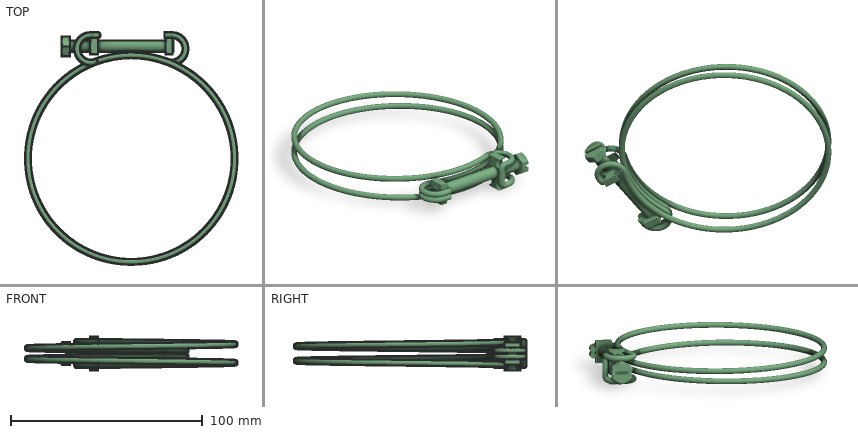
import cadquery as cq
import math


OVERALL_LENGTH = 121.4
RING_OUTER_DIAMETER = 110.9
WIRE_DIAMETER = 3.0
WIRE_RADIUS = WIRE_DIAMETER / 2
RING_RADIUS = RING_OUTER_DIAMETER / 2 - WIRE_RADIUS

HOOK_RADIUS = 7.2
LEAD_LENGTH = 1.2
OUTER_HOOK_Z = 6.1
INNER_HOOK_GAP = 0.1
INNER_HOOK_Z = WIRE_RADIUS + INNER_HOOK_GAP / 2
HOOK_END_X = 17.2

HOOK_TOP_Y = OVERALL_LENGTH - RING_OUTER_DIAMETER / 2 - WIRE_RADIUS
HOOK_CENTER_Y = HOOK_TOP_Y - HOOK_RADIUS
HOOK_DISTANCE = math.hypot(RING_RADIUS + HOOK_RADIUS, LEAD_LENGTH)
HOOK_CENTER_X = math.sqrt(HOOK_DISTANCE ** 2 - HOOK_CENTER_Y ** 2)
LEAD_ANGLE = math.atan2(LEAD_LENGTH, RING_RADIUS + HOOK_RADIUS)
RING_START_ANGLE = math.atan2(HOOK_CENTER_Y, HOOK_CENTER_X) + LEAD_ANGLE

CROSSBAR_X = -17.6
CROSSBAR_BEND_RADIUS = 2.4

BAR_HEIGHT = 8.5
BAR_CLEARANCE = 0.06
SCREW_Y = HOOK_TOP_Y - WIRE_RADIUS - BAR_CLEARANCE - BAR_HEIGHT / 2
BRIDGE_LEFT_X = -21.5
BRIDGE_THICKNESS = 4.2
BRIDGE_WIDTH = 18.0
NOTCH_RADIUS = 2.3
NUT_LEFT_X = 18.0
NUT_THICKNESS = 3.6
NUT_WIDTH = 11.7

SHANK_DIAMETER = 6.2
TIP_X = 22.0
TIP_CHAMFER = 0.4
HEAD_LEFT_X = -36.4
HEAD_THICKNESS = 4.4
HEAD_ACROSS_FLATS = 10.5
HEAD_ACROSS_CORNERS = HEAD_ACROSS_FLATS / math.cos(math.pi / 6)
HEAD_CONE_ANGLE = math.radians(30)
SLOT_WIDTH = 2.0
SLOT_DEPTH = 2.4


def hook_edges(side, z):
    """Start point, start direction and edges of one hook, from the ring to the top of the hook.

    The side is 1 for the hook at +X and -1 for the hook at -X.
    """
    normal = cq.Vector(side * math.cos(RING_START_ANGLE), math.sin(RING_START_ANGLE), 0)
    outward = cq.Vector(side * math.sin(RING_START_ANGLE), -math.cos(RING_START_ANGLE), 0)
    center = cq.Vector(side * HOOK_CENTER_X, HOOK_CENTER_Y, z)
    ring_point = normal * RING_RADIUS + cq.Vector(0, 0, z)
    arc_start = center - normal * HOOK_RADIUS
    arc_middle = center + cq.Vector(side * HOOK_RADIUS, 0, 0)
    arc_end = center + cq.Vector(0, HOOK_RADIUS, 0)
    lead = cq.Edge.makeLine(ring_point, arc_start)
    arc = cq.Edge.makeThreePointArc(arc_start, arc_middle, arc_end)
    return ring_point, outward, [lead, arc]


def wire_section(start, direction):
    """Round section of the wire at the start point, square to the given direction."""
    plane = cq.Plane(origin=start, xDir=(0, 0, 1), normal=direction)
    return cq.Workplane(plane).circle(WIRE_RADIUS)


def make_ring():
    """Upper ring: a spiral of more than one turn that ends in the inner hook at +X."""
    start, outward, edges = hook_edges(1, INNER_HOOK_Z)
    hook_top = cq.Vector(HOOK_CENTER_X, HOOK_TOP_Y, INNER_HOOK_Z)
    hook_end = cq.Vector(HOOK_END_X, HOOK_TOP_Y, INNER_HOOK_Z)
    stub = cq.Edge.makeLine(hook_top, hook_end)
    hook = wire_section(start, outward).sweep(cq.Wire.assembleEdges([*edges, stub]))

    rise = OUTER_HOOK_Z - INNER_HOOK_Z
    turns = 1 + (math.pi - 2 * RING_START_ANGLE) / (2 * math.pi)
    helix = cq.Wire.makeHelix(rise / turns, rise, RING_RADIUS)
    helix = helix.rotate(cq.Vector(0, 0, 0), cq.Vector(0, 0, 1), math.degrees(RING_START_ANGLE))
    helix = helix.translate(cq.Vector(0, 0, INNER_HOOK_Z))
    spiral = wire_section(start, outward * -1).sweep(helix, isFrenet=True)
    return spiral.union(hook)


def make_bail():
    """Two outer hooks at -X joined by a cross bar along Z."""
    start, outward, upper_hook = hook_edges(-1, OUTER_HOOK_Z)
    lower_hook = hook_edges(-1, -OUTER_HOOK_Z)[2]
    bend_x = CROSSBAR_X - CROSSBAR_BEND_RADIUS
    bar_z = OUTER_HOOK_Z - CROSSBAR_BEND_RADIUS
    bend_offset = CROSSBAR_BEND_RADIUS * math.sqrt(0.5)

    def stub_and_bend(sign):
        """Stub and bend from the hook top to the cross bar, above (1) or below (-1) the middle plane."""
        stub_start = cq.Vector(-HOOK_CENTER_X, HOOK_TOP_Y, sign * OUTER_HOOK_Z)
        bend_start = cq.Vector(bend_x, HOOK_TOP_Y, sign * OUTER_HOOK_Z)
        bend_middle = cq.Vector(bend_x + bend_offset, HOOK_TOP_Y, sign * (bar_z + bend_offset))
        bend_end = cq.Vector(CROSSBAR_X, HOOK_TOP_Y, sign * bar_z)
        stub = cq.Edge.makeLine(stub_start, bend_start)
        bend = cq.Edge.makeThreePointArc(bend_start, bend_middle, bend_end)
        return [stub, bend]

    crossbar_top = cq.Vector(CROSSBAR_X, HOOK_TOP_Y, bar_z)
    crossbar_bottom = cq.Vector(CROSSBAR_X, HOOK_TOP_Y, -bar_z)
    crossbar = cq.Edge.makeLine(crossbar_top, crossbar_bottom)
    path = cq.Wire.assembleEdges(
        [*upper_hook, *stub_and_bend(1), crossbar, *stub_and_bend(-1), *lower_hook]
    )
    return wire_section(start, outward).sweep(path)


def screw_plane(x):
    """Plane across the screw axis at x, with its own x along Y and its own y along Z."""
    return cq.Workplane(cq.Plane(origin=(x, SCREW_Y, 0), xDir=(0, 1, 0), normal=(1, 0, 0)))


def make_bar(left_x, thickness, width):
    """Flat bar across the clamp with a hole for the screw."""
    bar = screw_plane(left_x).rect(BAR_HEIGHT, width).extrude(thickness)
    hole = screw_plane(left_x).circle(SHANK_DIAMETER / 2).extrude(thickness)
    return bar.cut(hole)


def make_bridge():
    """Bridge bar with a round notch in each edge where the bail loops pass."""
    notch_centers = [
        (y_side * BAR_HEIGHT / 2, z_side * OUTER_HOOK_Z)
        for y_side in (-1, 1)
        for z_side in (-1, 1)
    ]
    notch_circles = screw_plane(BRIDGE_LEFT_X).pushPoints(notch_centers).circle(NOTCH_RADIUS)
    notches = notch_circles.extrude(BRIDGE_THICKNESS)
    return make_bar(BRIDGE_LEFT_X, BRIDGE_THICKNESS, BRIDGE_WIDTH).cut(notches)


def make_nut():
    """Plain bar that holds the end of the screw."""
    return make_bar(NUT_LEFT_X, NUT_THICKNESS, NUT_WIDTH)


def make_head():
    """Hexagon head with corners along Z, a coned outer face and a slot along Y."""
    hexagon = screw_plane(HEAD_LEFT_X).transformed(rotate=(0, 0, 90)).polygon(6, HEAD_ACROSS_CORNERS)
    head = hexagon.extrude(HEAD_THICKNESS)
    face_radius = HEAD_ACROSS_FLATS / 2
    cone_end_radius = face_radius + HEAD_THICKNESS / math.tan(HEAD_CONE_ANGLE)
    cone = cq.Workplane(obj=cq.Solid.makeCone(
        face_radius, cone_end_radius, HEAD_THICKNESS,
        pnt=cq.Vector(HEAD_LEFT_X, SCREW_Y, 0), dir=cq.Vector(1, 0, 0),
    ))
    slot = screw_plane(HEAD_LEFT_X).rect(HEAD_ACROSS_CORNERS, SLOT_WIDTH).extrude(SLOT_DEPTH)
    return head.intersect(cone).cut(slot)


def make_screw():
    """Slotted hexagon screw along X with a chamfered tip."""
    head_right_x = HEAD_LEFT_X + HEAD_THICKNESS
    shank = screw_plane(head_right_x).circle(SHANK_DIAMETER / 2).extrude(TIP_X - head_right_x)
    shank = shank.faces(">X").chamfer(TIP_CHAMFER)
    return make_head().union(shank)


upper_ring = make_ring()
rings = [upper_ring, upper_ring.mirror("XY")]
bail = make_bail()
bridge = make_bridge()
nut = make_nut()
screw = make_screw()

result = cq.Compound.makeCompound(
    [*[ring.val() for ring in rings], bail.val(), bridge.val(), nut.val(), screw.val()]
)